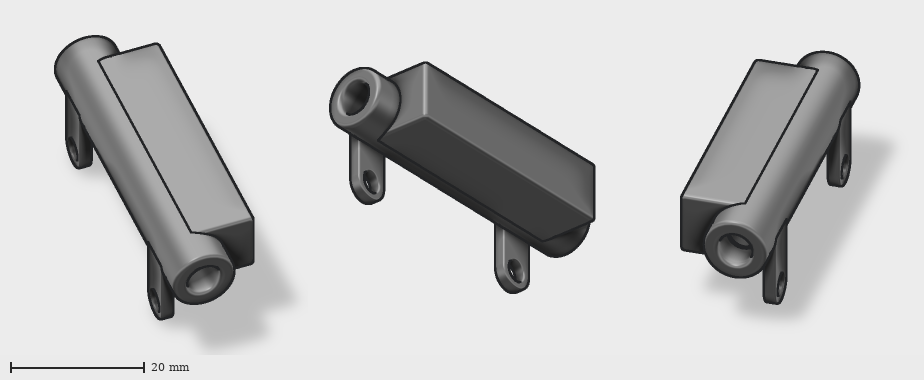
import cadquery as cq

barrel_length = 50.0
barrel_diameter = 10.0
barrel_radius = barrel_diameter / 2
bore_diameter = 4.5
counterbore_diameter = 5.3
counterbore_depth = 5.0
body_fillet = 0.7

end_inset = 5.0
block_length = barrel_length - 2 * end_inset
block_depth = barrel_diameter
block_height = barrel_diameter

lug_width = 6.0
lug_thickness = 2.0
lug_drop = 10.0
lug_hole_diameter = 3.5
lug_fillet = 0.3
lug_offset = barrel_length / 2 - end_inset - lug_width / 2


def x_cylinder(diameter, length, start_x):
    """A cylinder on the X axis that begins at start_x and runs toward +X."""
    return cq.Workplane("YZ", origin=(start_x, 0, 0)).circle(diameter / 2).extrude(length)


def make_barrel():
    """Tube with rounded end rims and a counterbore at each end."""
    left_end = -barrel_length / 2
    right_end = barrel_length / 2
    barrel = x_cylinder(barrel_diameter, barrel_length, left_end)
    barrel = barrel.cut(x_cylinder(bore_diameter, barrel_length, left_end))
    for start_x in (left_end, right_end - counterbore_depth):
        barrel = barrel.cut(x_cylinder(counterbore_diameter, counterbore_depth, start_x))
    return barrel.faces("<X or >X").edges().fillet(body_fillet)


def barrel_envelope():
    """Full outer cylinder of the barrel, used to shape the parts that seat on it."""
    return x_cylinder(barrel_diameter, barrel_length, -barrel_length / 2)


def make_block():
    """Box starting at the barrel axis, rounded away from the barrel, with a cylindrical seat."""
    block = cq.Workplane("XY").box(
        block_length, block_depth, block_height, centered=(True, False, True)
    )
    block = block.edges("not <Y").fillet(body_fillet)
    return block.cut(barrel_envelope())


def make_lug(center_x):
    """Tab with a round lower end and a rounded hole, seated against the barrel."""
    front_y = -barrel_radius
    half_width = lug_width / 2
    lug = (
        cq.Workplane("XZ", origin=(center_x, front_y, 0))
        .moveTo(-half_width, 0)
        .lineTo(-half_width, -lug_drop)
        .threePointArc((0, -lug_drop - half_width), (half_width, -lug_drop))
        .lineTo(half_width, 0)
        .close()
        .extrude(-lug_thickness)
    )
    hole = (
        cq.Workplane("XZ", origin=(center_x, front_y, -lug_drop))
        .circle(lug_hole_diameter / 2)
        .extrude(-lug_thickness)
    )
    lug = lug.cut(hole)
    lug = lug.faces("<Y or >Y").edges("not >Z").fillet(lug_fillet)
    return lug.cut(barrel_envelope())


barrel = make_barrel()
block = make_block()
lugs = [make_lug(side * lug_offset) for side in (-1, 1)]

result = cq.Compound.makeCompound(
    [barrel.solids().val(), block.solids().val(), *[lug.solids().val() for lug in lugs]]
)